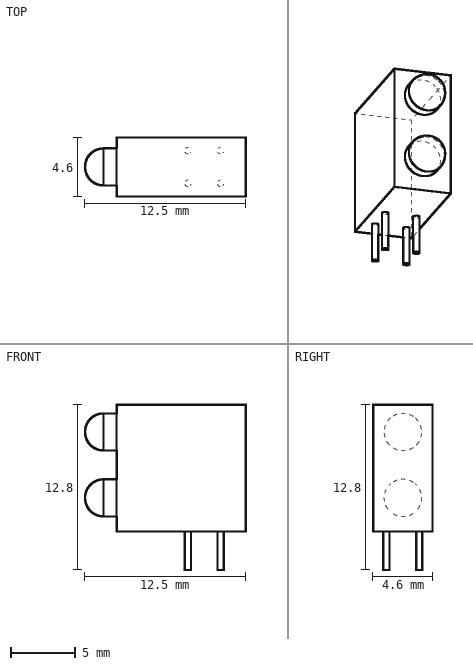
import cadquery as cq

housing_length = 10.04
housing_width = 4.6
housing_height = 9.85

lamp_diameter = 2.9
lamp_radius = lamp_diameter / 2
lamp_protrusion = 2.45
barrel_length = lamp_protrusion - lamp_radius
lamp_spacing = 5.11
upper_lamp_height = housing_height - 2.12
lamp_heights = [upper_lamp_height, upper_lamp_height - lamp_spacing]

pin_diameter = 0.5
pin_length = 12.85 - housing_height
pin_pitch = 2.55
front_pin_x = 5.54
pin_positions = [
    (x, y)
    for x in (front_pin_x, front_pin_x + pin_pitch)
    for y in (-pin_pitch / 2, pin_pitch / 2)
]


def make_housing():
    """Plain rectangular block."""
    return cq.Workplane("XY").box(
        housing_length, housing_width, housing_height, centered=(False, True, False)
    )


def make_barrel(height):
    """Cylinder standing out from the front face toward -X."""
    return (
        cq.Workplane("YZ")
        .center(0, height)
        .circle(lamp_radius)
        .extrude(-barrel_length)
    )


def make_lens(height):
    """Half sphere on the end of a barrel, revolved about the lamp axis."""
    arc_offset = lamp_radius * 0.5 ** 0.5
    return (
        cq.Workplane("XZ", origin=(-barrel_length, 0, height))
        .moveTo(0, 0)
        .lineTo(0, lamp_radius)
        .threePointArc((-arc_offset, arc_offset), (-lamp_radius, 0))
        .close()
        .revolve(360, (0, 0), (1, 0))
    )


def make_pin(x, y):
    """Straight round pin hanging from the housing base."""
    return cq.Workplane("XY").center(x, y).circle(pin_diameter / 2).extrude(-pin_length)


housing = make_housing()
barrels = [make_barrel(height) for height in lamp_heights]
lenses = [make_lens(height) for height in lamp_heights]
pins = [make_pin(x, y) for x, y in pin_positions]

bodies = [housing, *barrels, *lenses, *pins]
result = cq.Compound.makeCompound([body.val() for body in bodies])